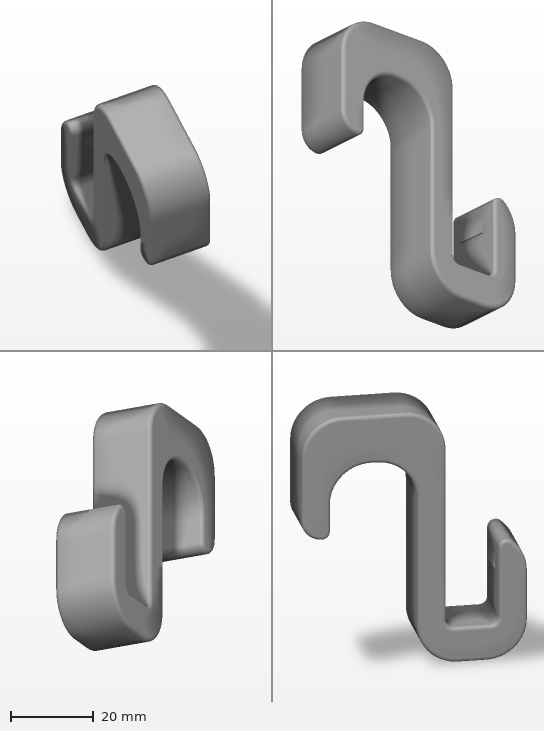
import cadquery as cq
import math

width = 55.5
thickness = 16.0
height = 65.0

wall = 7.0
lower_gap = 13.0
floor_height = 9.0
crown_height = 12.3
corner_radius = 10.0
throat_radius = 2.0
tip_radius = 2.0
lower_lip_straight_top = 22.5
upper_tip_drop = 31.25
edge_fillet = 1.0

wedge_width = thickness / 2
wedge_bottom = 22.15
wedge_height = 4.0
wedge_depth = 0.45
wedge_offset_y = -0.45

lip_inner_x = wall
spine_left = lip_inner_x + lower_gap
spine_right = spine_left + wall
upper_lip_x = width - wall
arch_top = height - crown_height
arch_spring = arch_top - corner_radius
upper_tip_z = height - upper_tip_drop
upper_tip_outer_radius = wall - tip_radius

lower_tip_x = lip_inner_x - tip_radius
center_distance = corner_radius - tip_radius
tip_offset_x = corner_radius - lower_tip_x
tip_offset_z = math.sqrt(center_distance**2 - tip_offset_x**2)
lower_tip_z = lower_lip_straight_top + tip_offset_z
blend_x = corner_radius - corner_radius * tip_offset_x / center_distance
blend_z = lower_lip_straight_top + corner_radius * tip_offset_z / center_distance


def make_hook():
    """Extrude the S profile, centred on Y, and round its front and back edges."""
    profile = (
        cq.Workplane("XZ")
        .moveTo(corner_radius, 0)
        .lineTo(spine_right - corner_radius, 0)
        .radiusArc((spine_right, corner_radius), -corner_radius)
        .lineTo(spine_right, arch_spring)
        .radiusArc((spine_right + corner_radius, arch_top), corner_radius)
        .lineTo(upper_lip_x - corner_radius, arch_top)
        .radiusArc((upper_lip_x, arch_spring), corner_radius)
        .lineTo(upper_lip_x, upper_tip_z + tip_radius)
        .radiusArc((upper_lip_x + tip_radius, upper_tip_z), -tip_radius)
        .radiusArc((width, upper_tip_z + upper_tip_outer_radius), -upper_tip_outer_radius)
        .lineTo(width, height - corner_radius)
        .radiusArc((width - corner_radius, height), -corner_radius)
        .lineTo(spine_left + corner_radius, height)
        .radiusArc((spine_left, height - corner_radius), -corner_radius)
        .lineTo(spine_left, floor_height + throat_radius)
        .radiusArc((spine_left - throat_radius, floor_height), throat_radius)
        .lineTo(lip_inner_x + throat_radius, floor_height)
        .radiusArc((lip_inner_x, floor_height + throat_radius), throat_radius)
        .lineTo(lip_inner_x, lower_tip_z)
        .radiusArc((blend_x, blend_z), -tip_radius)
        .radiusArc((0, lower_lip_straight_top), -corner_radius)
        .lineTo(0, corner_radius)
        .radiusArc((corner_radius, 0), -corner_radius)
        .close()
    )
    return profile.extrude(thickness / 2, both=True).faces("|Y").edges().fillet(edge_fillet)


def make_wedge():
    """Ramp that thickens downwards to a flat ledge, rooted inside the lip."""
    root_x = lip_inner_x - wall / 2
    return (
        cq.Workplane("XZ")
        .moveTo(root_x, wedge_bottom)
        .lineTo(lip_inner_x + wedge_depth, wedge_bottom)
        .lineTo(lip_inner_x, wedge_bottom + wedge_height)
        .lineTo(root_x, wedge_bottom + wedge_height)
        .close()
        .extrude(wedge_width / 2, both=True)
        .translate((0, wedge_offset_y, 0))
    )


result = make_hook().union(make_wedge())